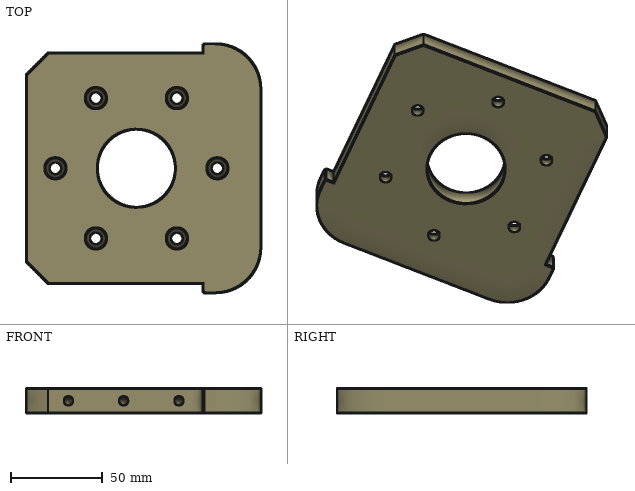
import cadquery as cq
import math

length = 128.0
head_width = 136.0
body_width = 126.0
thickness = 14.0
head_start = 96.0
body_corner_cut = 12.0
head_corner_radius = 25.0
head_step_cut = 1.0
edge_chamfer = 0.5

bore_x = 60.0
bore_diameter = 42.0
screw_count = 6
screw_circle_radius = 44.0
screw_diameter = 6.3
counterbore_diameter = 11.0
counterbore_depth = 6.5

side_hole_diameter = 5.0
side_hole_depth = 12.0
side_hole_first_x = 23.0
side_hole_pitch = 30.0
side_hole_count = 3
drill_point_angle = 118.0


def make_plate():
    """Plate outline, extruded and chamfered around both faces."""
    head_y = head_width / 2
    body_y = body_width / 2
    arc_x = length - head_corner_radius
    arc_y = head_y - head_corner_radius
    arc_mid = head_corner_radius * math.sqrt(0.5)

    outline = (
        cq.Workplane("XY")
        .moveTo(0, -body_y + body_corner_cut)
        .lineTo(body_corner_cut, -body_y)
        .lineTo(head_start, -body_y)
        .lineTo(head_start, -head_y + head_step_cut)
        .lineTo(head_start + head_step_cut, -head_y)
        .lineTo(arc_x, -head_y)
        .threePointArc((arc_x + arc_mid, -arc_y - arc_mid), (length, -arc_y))
        .lineTo(length, arc_y)
        .threePointArc((arc_x + arc_mid, arc_y + arc_mid), (arc_x, head_y))
        .lineTo(head_start + head_step_cut, head_y)
        .lineTo(head_start, head_y - head_step_cut)
        .lineTo(head_start, body_y)
        .lineTo(body_corner_cut, body_y)
        .lineTo(0, body_y - body_corner_cut)
        .close()
    )
    return outline.extrude(thickness).faces("<Z or >Z").chamfer(edge_chamfer)


def make_bore():
    """Cutter for the central bore, flared at both faces."""
    radius = bore_diameter / 2
    flare_radius = radius + edge_chamfer
    return (
        cq.Workplane("XZ")
        .polyline([
            (0, 0),
            (flare_radius, 0),
            (radius, edge_chamfer),
            (radius, thickness - edge_chamfer),
            (flare_radius, thickness),
            (0, thickness),
        ])
        .close()
        .revolve(360, (0, 0), (0, 1))
        .translate((bore_x, 0, 0))
    )


def make_screw_hole():
    """Cutter for one screw hole with a counterbore flared at the top face."""
    screw_radius = screw_diameter / 2
    counterbore_radius = counterbore_diameter / 2
    counterbore_floor = thickness - counterbore_depth
    return (
        cq.Workplane("XZ")
        .polyline([
            (0, 0),
            (screw_radius, 0),
            (screw_radius, counterbore_floor),
            (counterbore_radius, counterbore_floor),
            (counterbore_radius, thickness - edge_chamfer),
            (counterbore_radius + edge_chamfer, thickness),
            (0, thickness),
        ])
        .close()
        .revolve(360, (0, 0), (0, 1))
    )


def make_side_hole():
    """Cutter for one blind hole along +Y, ending in a drill point."""
    radius = side_hole_diameter / 2
    point_length = radius / math.tan(math.radians(drill_point_angle / 2))
    return (
        cq.Workplane("XY")
        .polyline([
            (0, 0),
            (radius, 0),
            (radius, side_hole_depth),
            (0, side_hole_depth + point_length),
        ])
        .close()
        .revolve(360, (0, 0), (0, 1))
    )


result = make_plate().cut(make_bore())

screw_hole = make_screw_hole()
for index in range(screw_count):
    angle = 2 * math.pi * index / screw_count
    x = bore_x + screw_circle_radius * math.cos(angle)
    y = screw_circle_radius * math.sin(angle)
    result = result.cut(screw_hole.translate((x, y, 0)))

side_hole = make_side_hole()
for index in range(side_hole_count):
    x = side_hole_first_x + index * side_hole_pitch
    result = result.cut(side_hole.translate((x, -body_width / 2, thickness / 2)))